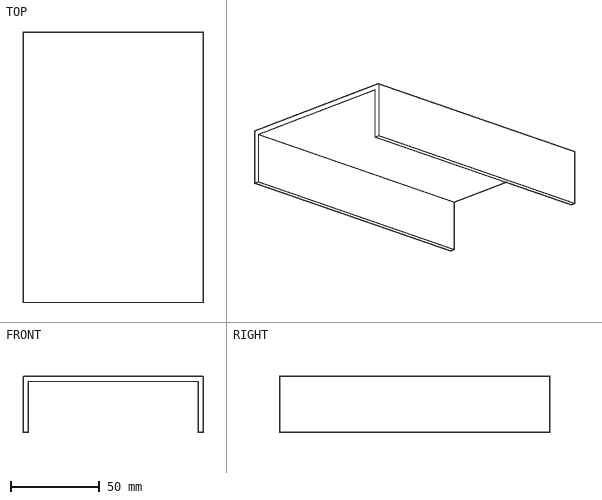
import cadquery as cq

width = 101.7
length = 152.4
height = 31.7

wall = 3.0
edge_radius = 0.8

block = cq.Workplane("XY").box(width, length, height, centered=(True, True, False))
rounded_block = block.edges("|Y and >Z").fillet(edge_radius)

channel = cq.Workplane("XY").box(
    width - 2 * wall, length, height - wall, centered=(True, True, False)
)

result = rounded_block.cut(channel)